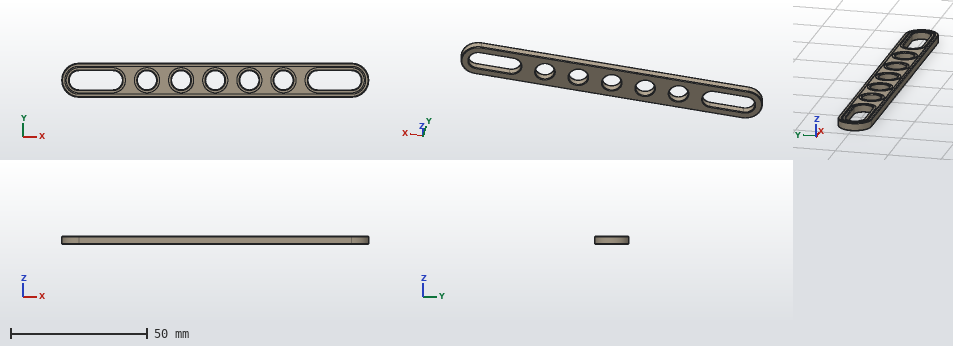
import cadquery as cq

length = 112.5
pitch = length / 9
width = pitch
thickness = pitch / 4
edge_chamfer = 0.3

hole_count = 5
hole_diameter = 7.0
slot_center_distance = pitch
slot_offset = 3.5 * pitch

ring_width = 1.1
ring_diameter = hole_diameter + 2 * ring_width
rim_width = 1.1
recess_depth = 0.2


def rounded_bar(bar_length, bar_width, height):
    """Bar with full round ends, standing on Z = 0."""
    return cq.Workplane("XY").slot2D(bar_length, bar_width).extrude(height)


def opening_posts(diameter, height):
    """Upright posts at every hole and slot, standing on Z = 0."""
    round_posts = cq.Workplane("XY").rarray(pitch, pitch, hole_count, 1).circle(diameter / 2).extrude(height)
    slot_post = rounded_bar(slot_center_distance + diameter, diameter, height)
    posts = round_posts
    for side in (-1, 1):
        posts = posts.union(slot_post.translate((side * slot_offset, 0, 0)))
    return posts


def chamfered_plate():
    """Plate with its outline and all its openings chamfered on both faces."""
    plate = rounded_bar(length, width, thickness).cut(opening_posts(hole_diameter, thickness))
    return plate.faces("<Z or >Z").edges().chamfer(edge_chamfer)


def top_recess():
    """Material removed from the top face between the outer rim and the rings around the openings."""
    floor_area = rounded_bar(length - 2 * rim_width, width - 2 * rim_width, recess_depth)
    recess = floor_area.cut(opening_posts(ring_diameter, recess_depth))
    return recess.translate((0, 0, thickness - recess_depth))


result = chamfered_plate().cut(top_recess())